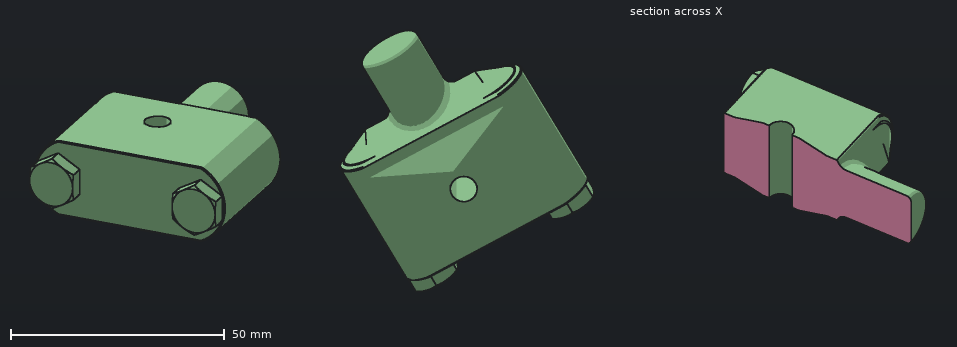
import cadquery as cq
import math

body_width = 49.0
body_length = 31.5
body_thickness = 18.95
flat_half_width = 18.4
edge_chamfer = 0.3

overall_thickness = 22.9
pad_half_width = 18.0
pad_half_length = 12.7
crest_half_length = 5.0
cross_hole_radius = 3.1

shoulder_height = 4.95
ridge_half_width = 14.7
shoulder_skirt_height = 0.55

overall_length = 55.8
post_radius = 7.5
post_end_radius = 1.35
post_root_radius = 2.25
bolt_offset = 18.3
bolt_head_height = 4.0
bolt_across_flats = 11.05
bolt_bevel_angle = 30.0

half_width = body_width / 2
half_length = body_length / 2
half_thickness = body_thickness / 2
shoulder_half_thickness = half_thickness - edge_chamfer
post_length = overall_length - body_length - bolt_head_height


def facing_plus_y(y):
    """Workplane at the given Y whose normal points along +Y."""
    return cq.Workplane(cq.Plane(origin=(0, y, 0), xDir=(-1, 0, 0), normal=(0, 1, 0)))


def facing_minus_y(y):
    """Workplane at the given Y whose normal points along -Y."""
    return cq.Workplane("XZ", origin=(0, y, 0))


def oblong(plane, inset=0.0):
    """Body outline with bowed sides, moved inwards by the inset."""
    side = half_width - inset
    flat = half_thickness - inset
    return (
        plane.moveTo(-flat_half_width, flat)
        .lineTo(flat_half_width, flat)
        .threePointArc((side, 0), (flat_half_width, -flat))
        .lineTo(-flat_half_width, -flat)
        .threePointArc((-side, 0), (-flat_half_width, flat))
        .close()
    )


def make_body():
    return oblong(facing_plus_y(-half_length)).extrude(body_length).edges().chamfer(edge_chamfer)


def polygon_face(*points):
    vectors = [cq.Vector(*point) for point in points]
    return cq.Face.makeFromWires(cq.Wire.makePolygon(vectors, close=True))


def ruled_face(start_a, end_a, start_b, end_b):
    """Twisted face spanning the straight edges a and b."""
    edge_a = cq.Edge.makeLine(cq.Vector(*start_a), cq.Vector(*end_a))
    edge_b = cq.Edge.makeLine(cq.Vector(*start_b), cq.Vector(*end_b))
    return cq.Face.makeRuledSurface(edge_a, edge_b)


def make_pad():
    """Hipped pad on the upper face, with a flat diamond at its crest."""
    base = half_thickness
    crest = overall_thickness / 2
    faces = []
    diamond = []
    outline = []
    for sx in (1, -1):
        x_tip = (sx * cross_hole_radius, 0, crest)
        x_mid = (sx * pad_half_width, 0, base)
        diamond += [x_tip, (0, sx * crest_half_length, crest)]
        for sy in (sx, -sx):
            y_tip = (0, sy * crest_half_length, crest)
            crease_foot = (sx * pad_half_width, sy * crest_half_length, base)
            corner = (sx * pad_half_width, sy * pad_half_length, base)
            faces.append(ruled_face(y_tip, x_tip, crease_foot, x_mid))
            faces.append(polygon_face(y_tip, crease_foot, corner))
        for y in (-pad_half_length, -crest_half_length, 0, crest_half_length, pad_half_length):
            outline.append((sx * pad_half_width, sx * y, base))
        faces.append(
            polygon_face(
                (pad_half_width, sx * pad_half_length, base),
                (-pad_half_width, sx * pad_half_length, base),
                (0, sx * crest_half_length, crest),
            )
        )
    faces.append(polygon_face(*diamond))
    faces.append(polygon_face(*outline))
    return cq.Workplane(cq.Solid.makeSolid(cq.Shell.makeShell(faces)).fix())


def make_shoulder():
    """Ridge along X whose ends are finished by cones."""
    shoulder = (
        cq.Workplane("YZ", origin=(-ridge_half_width, 0, 0))
        .moveTo(half_length, -shoulder_half_thickness)
        .lineTo(half_length + shoulder_height, 0)
        .lineTo(half_length, shoulder_half_thickness)
        .close()
        .extrude(2 * ridge_half_width)
    )
    for x in (-ridge_half_width, ridge_half_width):
        cone = cq.Solid.makeCone(
            shoulder_half_thickness, 0, shoulder_height, cq.Vector(x, half_length, 0), cq.Vector(0, 1, 0)
        )
        shoulder = shoulder.union(cq.Workplane(cone))
    return shoulder


def make_skirt():
    """Low sloping skirt joining the shoulder to the whole end of the body."""
    slope = math.degrees(math.atan2(shoulder_half_thickness, shoulder_height))
    outline = oblong(facing_plus_y(half_length), edge_chamfer)
    return outline.extrude(shoulder_skirt_height, taper=slope)


def make_post():
    return (
        facing_plus_y(half_length)
        .circle(post_radius)
        .extrude(post_length)
        .faces(">Y")
        .edges()
        .fillet(post_end_radius)
    )


def make_neck():
    """Post with a filleted foot on the two slopes of the shoulder ridge.

    The upper half is a post standing on a single slope, cut off at mid-height and mirrored.
    """
    run_per_rise = shoulder_height / shoulder_half_thickness
    slope_rise = 2 * half_thickness
    ridge_y = half_length + shoulder_height
    slope = (
        cq.Workplane("YZ", origin=(-ridge_half_width, 0, 0))
        .moveTo(0, slope_rise)
        .lineTo(ridge_y - run_per_rise * slope_rise, slope_rise)
        .lineTo(ridge_y + run_per_rise * slope_rise, -slope_rise)
        .lineTo(0, -slope_rise)
        .close()
        .extrude(2 * ridge_half_width)
    )
    whole = slope.union(make_post()).edges("%ELLIPSE").fillet(post_root_radius)
    upper_space = cq.Workplane("XY", origin=(0, half_length, 0)).box(
        2 * ridge_half_width, post_length, shoulder_half_thickness, centered=(True, False, False)
    )
    upper = whole.intersect(upper_space)
    return upper.union(upper.mirror("XY"))


def make_bolt_head(x):
    """Hexagon head pointing along -Y, its corners bevelled by a cone."""
    flat_radius = bolt_across_flats / 2
    corner_diameter = bolt_across_flats / math.cos(math.pi / 6)
    cone_growth = bolt_head_height / math.tan(math.radians(bolt_bevel_angle))
    head = (
        facing_minus_y(-half_length)
        .center(x, 0)
        .transformed(rotate=(0, 0, 90))
        .polygon(6, corner_diameter)
        .extrude(bolt_head_height)
    )
    bevel = cq.Solid.makeCone(
        flat_radius + cone_growth,
        flat_radius,
        bolt_head_height,
        cq.Vector(x, -half_length, 0),
        cq.Vector(0, -1, 0),
    )
    return head.intersect(cq.Workplane(bevel))


upper_pad = make_pad()
result = make_body().union(upper_pad).union(upper_pad.mirror("XY"))
result = result.union(make_skirt()).union(make_shoulder()).union(make_neck())
for bolt_x in (-bolt_offset, bolt_offset):
    result = result.union(make_bolt_head(bolt_x))

cross_hole = (
    cq.Workplane("XY", origin=(0, 0, -overall_thickness / 2))
    .circle(cross_hole_radius)
    .extrude(overall_thickness)
)
result = result.cut(cross_hole)